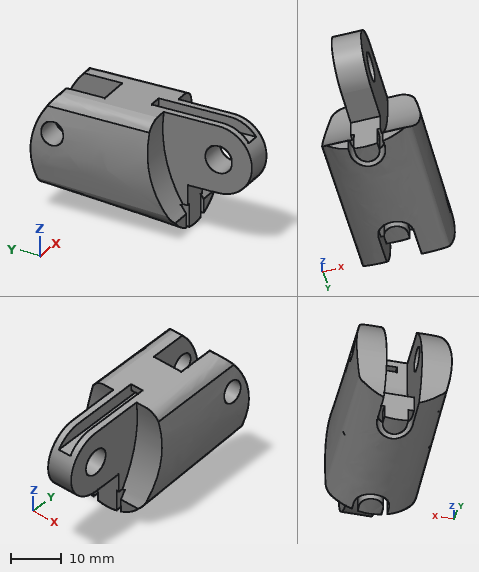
import cadquery as cq
import math


length = 46.35
barrel_front_y = 14.5

eye_radius = 7.5
eye_hole_radius = 3.0
tongue_half_width = 3.0
pivot_z = -eye_radius
eye_y = eye_radius

pivot_spacing = 34.0
clevis_y = eye_y + pivot_spacing
clevis_hole_radius = 2.5
clevis_gap_half_width = 3.55
clevis_clearance_radius = 8.65
clevis_lower_wall_y = 38.95

channel_half_width = 1.5
channel_depth = 2.95
channel_end_y = 23.5
tunnel_height = 1.4

groove_inner_radius = 2.4
groove_outer_radius = 3.55
groove_top_z = -19.55
groove_straight = 1.4

top_round_bulge = 0.45
foot_round_bulge = 0.2

overcut = 2.3
cut_half_width = 13.9
cut_bottom_z = -27.8


def barrel_section(wire, top_half, shoulder, widest, side_foot, corner, base_z):
    """Symmetric (X, Z) outline with a flat top, bulged sides and a round base."""

    def mirrored(point):
        return (-point[0], point[1])

    def corner_middle(start, end, bulge):
        """Point on a convex corner arc, set outward from the middle of its chord."""
        dx = end[0] - start[0]
        dz = end[1] - start[1]
        chord = math.hypot(dx, dz)
        return ((start[0] + end[0]) / 2 - dz / chord * bulge,
                (start[1] + end[1]) / 2 + dx / chord * bulge)

    top = (top_half, 0)
    top_round = corner_middle(top, shoulder, top_round_bulge)
    foot_round = corner_middle(side_foot, corner, foot_round_bulge)
    return (
        wire.moveTo(-top_half, 0)
        .lineTo(*top)
        .threePointArc(top_round, shoulder)
        .threePointArc(widest, side_foot)
        .threePointArc(foot_round, corner)
        .threePointArc((0, base_z), mirrored(corner))
        .threePointArc(mirrored(foot_round), mirrored(side_foot))
        .threePointArc(mirrored(widest), mirrored(shoulder))
        .threePointArc(mirrored(top_round), mirrored(top))
        .close()
    )


def side_prism(outline, half_width):
    """Extrude an outline drawn in (Y, Z) equally to both sides of X = 0."""
    return outline.extrude(half_width, both=True)


def box_between(x_range, y_range, z_range):
    """Box filling the given X, Y and Z ranges."""
    size = [high - low for low, high in (x_range, y_range, z_range)]
    corner = (x_range[0], y_range[0], z_range[0])
    return cq.Workplane("XY").box(*size, centered=False).translate(corner)


front_wire = barrel_section(
    cq.Workplane("XZ", origin=(0, barrel_front_y, 0)),
    top_half=5.7, shoulder=(8.55, -2.15), widest=(9.95, -12.5),
    side_foot=(9.2, -19.5), corner=(8.1, -21.15), base_z=-24.95,
)
barrel = barrel_section(
    front_wire.workplane(offset=barrel_front_y - length),
    top_half=5.37, shoulder=(8.35, -2.15), widest=(9.65, -11.6),
    side_foot=(8.9, -18.5), corner=(7.8, -19.7), base_z=-22.1,
).loft(ruled=True)

rear_crest = (length, -12.32)
rear_base = (43.5, -21.9)
rear_envelope = side_prism(
    cq.Workplane("YZ")
    .moveTo(0, overcut)
    .lineTo(clevis_y, overcut)
    .lineTo(clevis_y, 0)
    .threePointArc(rear_crest, rear_base)
    .lineTo(rear_base[0], cut_bottom_z)
    .lineTo(0, cut_bottom_z)
    .close(),
    cut_half_width,
)
barrel = barrel.intersect(rear_envelope)

shoulder_top_y = 19.88
shoulder_middle = (18.55, -13.4)
shoulder_foot = (barrel_front_y, -21.2)
shoulder_cut = side_prism(
    cq.Workplane("YZ")
    .moveTo(0, overcut)
    .lineTo(shoulder_top_y, overcut)
    .lineTo(shoulder_top_y, 0)
    .threePointArc(shoulder_middle, shoulder_foot)
    .lineTo(0, shoulder_foot[1])
    .close(),
    cut_half_width,
)
tongue_zone = box_between(
    (-tongue_half_width, tongue_half_width), (0, length), (cut_bottom_z, overcut)
)
barrel = barrel.cut(shoulder_cut.cut(tongue_zone))

eye = side_prism(
    cq.Workplane("YZ")
    .moveTo(channel_end_y, 0)
    .lineTo(eye_y, 0)
    .threePointArc((0, pivot_z), (eye_y, -2 * eye_radius))
    .lineTo(channel_end_y, -2 * eye_radius)
    .close(),
    tongue_half_width,
)
body = barrel.union(eye)

gap_wall_y = clevis_y - clevis_clearance_radius
lower_wall_offset = clevis_y - clevis_lower_wall_y
lower_wall_z = pivot_z - math.sqrt(clevis_clearance_radius**2 - lower_wall_offset**2)
clearance_angle = math.radians(45)
clearance_middle = (
    clevis_y - clevis_clearance_radius * math.cos(clearance_angle),
    pivot_z - clevis_clearance_radius * math.sin(clearance_angle),
)
clevis_gap = side_prism(
    cq.Workplane("YZ")
    .moveTo(length + overcut, overcut)
    .lineTo(gap_wall_y, overcut)
    .lineTo(gap_wall_y, pivot_z)
    .threePointArc(clearance_middle, (clevis_lower_wall_y, lower_wall_z))
    .lineTo(clevis_lower_wall_y, cut_bottom_z)
    .lineTo(length + overcut, cut_bottom_z)
    .close(),
    clevis_gap_half_width,
)
body = body.cut(clevis_gap)

for hole_y, hole_radius in ((eye_y, eye_hole_radius), (clevis_y, clevis_hole_radius)):
    pin = cq.Workplane("YZ").center(hole_y, pivot_z).circle(hole_radius)
    body = body.cut(side_prism(pin, cut_half_width))

channel_x = (-channel_half_width, channel_half_width)
body = body.cut(box_between(channel_x, (-overcut, channel_end_y), (-channel_depth, overcut)))
body = body.cut(box_between(
    channel_x, (channel_end_y, gap_wall_y + overcut), (-channel_depth, tunnel_height - channel_depth)
))


def cord_groove(face_y, direction):
    """Groove with a half-ring bend and straight legs out through an end face."""

    def round_ended_block(radius):
        bend_y = face_y + direction * groove_straight
        mouth_y = face_y - direction * overcut
        return (
            cq.Workplane("XY", origin=(0, 0, cut_bottom_z))
            .moveTo(-radius, mouth_y)
            .lineTo(-radius, bend_y)
            .threePointArc((0, bend_y + direction * radius), (radius, bend_y))
            .lineTo(radius, mouth_y)
            .close()
            .extrude(groove_top_z - cut_bottom_z)
        )

    return round_ended_block(groove_outer_radius).cut(round_ended_block(groove_inner_radius))


body = body.cut(cord_groove(barrel_front_y, 1))
body = body.cut(cord_groove(clevis_lower_wall_y, -1))

result = body